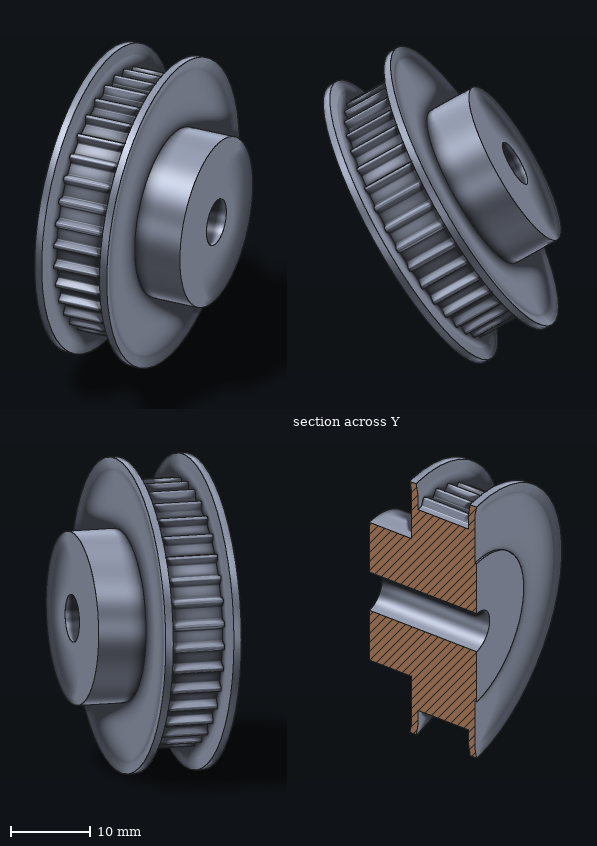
import cadquery as cq
import math

pulley_width = 10.0
total_length = 16.0
hub_radius = 11.0
bore_radius = 3.0

flange_radius = 20.0
flange_bend_radius = 18.5
flange_thickness = 1.0
flange_dish = 0.25

tooth_count = 36
tip_radius = 17.0
root_radius = 16.0
groove_floor_half_width = 0.8
groove_flank_angle = 25.0
tip_fillet = 0.2
root_fillet = 0.25

flange_inner_face = flange_dish + flange_thickness
belt_width = pulley_width - 2 * flange_inner_face
pitch_angle = 360.0 / tooth_count


def cylinder(radius, start, length):
    """Solid cylinder about the X axis, beginning at x = start."""
    return cq.Workplane("YZ", origin=(start, 0, 0)).circle(radius).extrude(length)


def make_toothed_rim():
    """Root cylinder with straight-flanked teeth, rounded at tip and root."""
    inner = root_radius - root_fillet
    outer = tip_radius + tip_fillet
    flank_slope = math.tan(math.radians(groove_flank_angle))
    inner_half = groove_floor_half_width + (inner - root_radius) * flank_slope
    outer_half = groove_floor_half_width + (outer - root_radius) * flank_slope
    groove_outline = [
        (inner, -inner_half),
        (outer, -outer_half),
        (outer, outer_half),
        (inner, inner_half),
    ]
    groove = (
        cq.Workplane("YZ", origin=(flange_inner_face, 0, 0))
        .polyline(groove_outline)
        .close()
        .extrude(belt_width)
        .cut(cylinder(root_radius, flange_inner_face, belt_width))
    )

    rim = cylinder(tip_radius, flange_inner_face, belt_width)
    for index in range(tooth_count):
        rim = rim.cut(groove.rotate((0, 0, 0), (1, 0, 0), index * pitch_angle))

    middle_radius = (root_radius + tip_radius) / 2

    def edge_radius(edge):
        """Distance of an axial edge from the pulley axis."""
        center = edge.Center()
        return math.hypot(center.y, center.z)

    tip_edges = rim.edges("|X").filter(lambda edge: edge_radius(edge) > middle_radius)
    rim = tip_edges.fillet(tip_fillet)
    root_edges = rim.edges("|X").filter(lambda edge: edge_radius(edge) < middle_radius)
    return root_edges.fillet(root_fillet)


def make_flange():
    """Flange on the x = 0 end, with its rim bent outward to x = 0."""
    section = [
        (flange_dish, 0),
        (flange_dish, flange_bend_radius),
        (0, flange_radius),
        (flange_thickness, flange_radius),
        (flange_inner_face, flange_bend_radius),
        (flange_inner_face, 0),
    ]
    return cq.Workplane("XY").polyline(section).close().revolve(360, (0, 0, 0), (1, 0, 0))


near_flange = make_flange()
far_flange = near_flange.mirror("YZ").translate((pulley_width, 0, 0))
hub = cylinder(hub_radius, 0, total_length)
bore = cylinder(bore_radius, 0, total_length)

result = make_toothed_rim().union(near_flange).union(far_flange).union(hub).cut(bore)